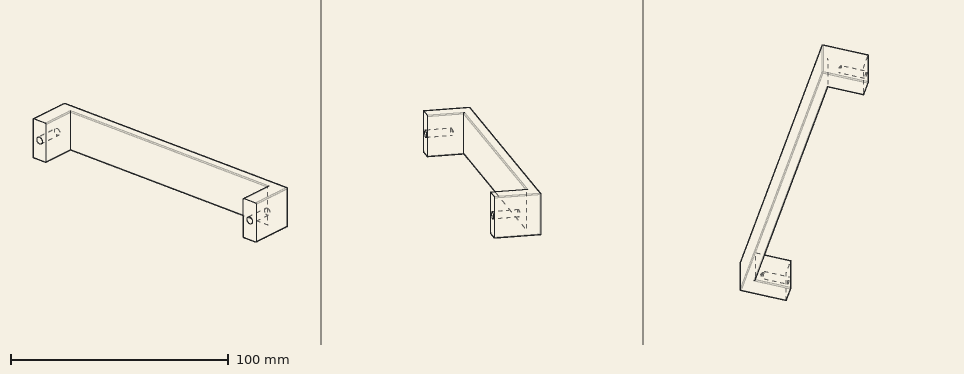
import cadquery as cq
import math

length = 136.0
depth = 22.0
height = 20.0

leg_width = 8.0
grip_thickness = 5.0
edge_radius = 0.5

hole_diameter = 3.4
hole_depth = 12.2
drill_tip_angle = 118.0

half_length = length / 2
front_y = -depth / 2
back_y = depth / 2


def make_body():
    """U-shaped bar with its long edges rounded, leaving the leg ends sharp."""
    opening_length = length - 2 * leg_width
    opening_depth = depth - grip_thickness
    opening = cq.Workplane("XY").box(opening_length, opening_depth, height)
    opening = opening.translate((0, front_y + opening_depth / 2, 0))
    body = cq.Workplane("XY").box(length, depth, height).cut(opening)

    end_edges = body.faces("<Y").edges().vals()
    rim_edges = body.faces("<Z or >Z").edges().vals()
    back_corners = body.faces(">Y").edges("|Z").vals()
    rounded_edges = [edge for edge in rim_edges + back_corners if edge not in end_edges]
    return body.newObject(rounded_edges).fillet(edge_radius)


def make_screw_hole(x):
    """Drilled hole along Y with a conical bottom, entering the leg end at x."""
    radius = hole_diameter / 2
    tip_length = radius / math.tan(math.radians(drill_tip_angle / 2))
    bottom_y = front_y + hole_depth
    half_section = [
        (x, front_y),
        (x + radius, front_y),
        (x + radius, bottom_y),
        (x, bottom_y + tip_length),
    ]
    profile = cq.Workplane("XY").polyline(half_section).close()
    return profile.revolve(360, (x, front_y), (x, back_y))


result = make_body()
for side in (-1, 1):
    result = result.cut(make_screw_hole(side * (half_length - leg_width / 2)))